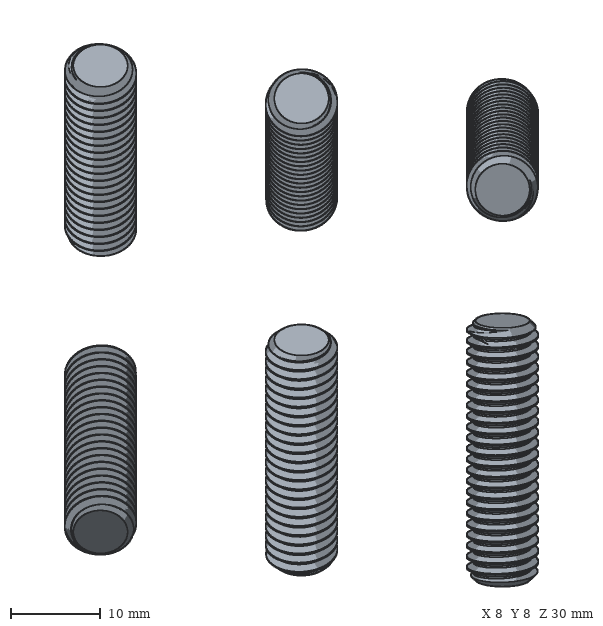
import cadquery as cq
import math

length = 30.0
major_diameter = 8.0
turns = 24
end_face_radius = 3.03
flank_angle = 30.0
crest_at_x = 0.9

pitch = length / turns
major_radius = major_diameter / 2
flank_slope = math.tan(math.radians(flank_angle))
sharp_height = pitch / 2 / flank_slope
thread_depth = sharp_height * 17 / 24
root_radius = major_radius - thread_depth
crest_half = pitch / 16

extra_turns = 2
ridge_embed = 0.05
core_seam_angle = 77.0
envelope_margin = 0.3


def thread_ridge():
    """Right-hand helical ridge: four ruled strips closed by a flat cap at each end."""
    start = crest_at_x - extra_turns * pitch
    height = (turns + 2 * extra_turns) * pitch
    base_radius = root_radius - ridge_embed
    base_half = crest_half + (thread_depth + ridge_embed) * flank_slope
    corners = [
        (base_radius, start - base_half),
        (major_radius, start - crest_half),
        (major_radius, start + crest_half),
        (base_radius, start + base_half),
    ]

    helices = [cq.Wire.makeHelix(pitch, height, r, center=cq.Vector(0, 0, z)) for r, z in corners]
    strips = [
        cq.Face.makeRuledSurface(helix, helices[(i + 1) % len(helices)])
        for i, helix in enumerate(helices)
    ]
    caps = []
    for lift in (0, height):
        points = [cq.Vector(r, 0, z + lift) for r, z in corners]
        caps.append(cq.Face.makeFromWires(cq.Wire.makePolygon(points, close=True)))
    faces = [face for strip in strips for face in strip.Faces()] + caps
    return cq.Workplane(obj=cq.Solid.makeSolid(cq.Shell.makeShell(faces)))


def end_envelope():
    """Wide cylinder whose 45 degree end chamfers trim the thread to length."""
    radius = major_radius + envelope_margin
    cylinder = cq.Workplane("XY").circle(radius).extrude(length)
    return cylinder.faces("<Z or >Z").chamfer(radius - end_face_radius)


def core():
    """Plain rod at the thread root, as long as the untrimmed thread."""
    bottom = -extra_turns * pitch
    rod = cq.Workplane("XY").workplane(offset=bottom).circle(root_radius).extrude(length - 2 * bottom)
    return rod.rotate((0, 0, 0), (0, 0, 1), core_seam_angle)


result = core().union(thread_ridge()).intersect(end_envelope())